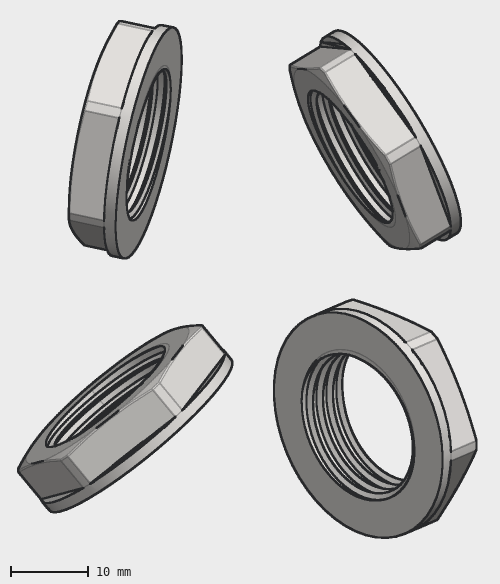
import cadquery as cq
import math

TOTAL_LENGTH = 6.77
FLANGE_THICKNESS = 1.57
FLANGE_DIAMETER = 30.43
HEX_LENGTH = TOTAL_LENGTH - FLANGE_THICKNESS

SIDES = 6
ACROSS_FLATS = 27.0
ACROSS_CORNERS = ACROSS_FLATS / math.cos(math.pi / SIDES)
EDGE_ROUND = 0.2

BEVEL_ANGLE = 15.0
BEVEL_DIAMETER = 26.95

BORE_DIAMETER = 20.38
CREST_DIAMETER = 18.88
CREST_FLAT = 0.05
PITCH = 1.83
HALF_ANGLE = 30.0
RIDGE_EMBED = 0.02
LEAD_TURNS = 2
CREST_ANGLE = 80.0
BORE_SEAM_TURN = 75.0

AXIS_PLANE = cq.Plane(origin=(0, 0, 0), xDir=(0, 1, 0), normal=(1, 0, 0))


def cylinder(diameter, start, length):
    """Solid cylinder around the X axis."""
    return cq.Workplane(AXIS_PLANE).workplane(offset=start).circle(diameter / 2).extrude(length)


def bevel_envelope():
    """Turned body: a cone that starts ahead of the free end, then the flange diameter."""
    slope = math.tan(math.radians(BEVEL_ANGLE))
    inner = BORE_DIAMETER / 2
    outer = FLANGE_DIAMETER / 2
    cone_start = -(BEVEL_DIAMETER / 2 - inner) * slope
    cone_end = (outer - BEVEL_DIAMETER / 2) * slope
    profile = [
        (cone_start, 0),
        (cone_start, inner),
        (cone_end, outer),
        (HEX_LENGTH, outer),
        (HEX_LENGTH, 0),
    ]
    return cq.Workplane("XY").polyline(profile).close().revolve(360, (0, 0, 0), (1, 0, 0))


def hexagon():
    """Bevelled hexagon with trimmed corners at +Y and -Y and softly rounded edges."""
    prism = (
        cq.Workplane(AXIS_PLANE)
        .workplane(offset=-HEX_LENGTH)
        .polygon(SIDES, ACROSS_CORNERS)
        .extrude(2 * HEX_LENGTH)
    )
    body = prism.intersect(bevel_envelope())
    body = body.edges("|X").fillet(EDGE_ROUND)
    body = body.faces("%CONE").edges("not(<X)").fillet(EDGE_ROUND)
    return body.intersect(cylinder(2 * FLANGE_DIAMETER, 0, HEX_LENGTH))


def flange():
    """Round collar behind the hexagon."""
    return cylinder(FLANGE_DIAMETER, HEX_LENGTH, FLANGE_THICKNESS)


def bore():
    """Plain through hole, turned so that its seam line stays clear of the ridge's seams."""
    hole = cylinder(BORE_DIAMETER, 0, TOTAL_LENGTH)
    return hole.rotate((0, 0, 0), (1, 0, 0), BORE_SEAM_TURN)


def thread_ridge():
    """Helical ridge, swept past both ends around Z, laid along X and trimmed to length."""
    crest = CREST_DIAMETER / 2
    base = BORE_DIAMETER / 2 + RIDGE_EMBED
    half_crest = CREST_FLAT / 2
    half_base = half_crest + (base - crest) * math.tan(math.radians(HALF_ANGLE))
    profile = [
        (base, -half_base),
        (crest, -half_crest),
        (crest, half_crest),
        (base, half_base),
    ]
    lead = LEAD_TURNS * PITCH
    path = cq.Wire.makeHelix(PITCH, TOTAL_LENGTH + 2 * lead, base)
    ridge = (
        cq.Workplane("XZ")
        .polyline(profile)
        .close()
        .sweep(cq.Workplane(obj=path), isFrenet=True)
    )
    ridge = ridge.rotate((0, 0, 0), (0, 0, 1), -CREST_ANGLE)
    ridge = ridge.rotate((0, 0, 0), (0, 1, 0), 90).translate((-lead, 0, 0))
    return ridge.intersect(cylinder(FLANGE_DIAMETER, 0, TOTAL_LENGTH))


result = hexagon().union(flange()).cut(bore()).union(thread_ridge())